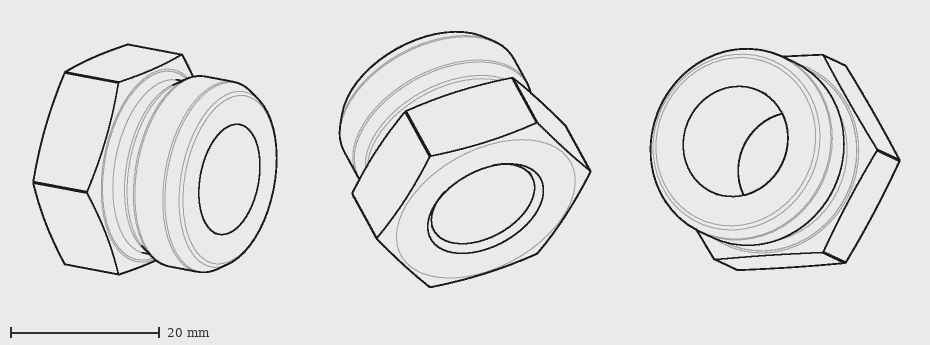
import cadquery as cq
import math

length = 22.0
hex_length = 10.0
hex_across_flats = 27.0
hex_corner_diameter = 31.08
hex_face_diameter = 26.0
hex_chamfer_angle = 15.0

neck_diameter = 23.7
neck_fillet = 1.0
collar_diameter = 26.0
cone_angle = 30.0
collar_start = 15.15
collar_end = 19.92
collar_edge_round = 0.6

bore_diameter = 15.0
bore_mouth_diameter = 16.85
bore_chamfer_angle = 45.0

selection_margin = 0.05


def revolve_profile(points):
    """Revolve a closed (x, radius) outline about the X axis."""
    outline = cq.Workplane("XY").polyline(points).close()
    return outline.revolve(360, (0, 0, 0), (1, 0, 0))


def make_hex():
    """Hexagon with corners on Y, its corners turned down and chamfered at both ends."""
    circumscribed_diameter = hex_across_flats / math.cos(math.radians(30))
    prism = cq.Workplane("YZ").polygon(6, circumscribed_diameter).extrude(hex_length)
    face_radius = hex_face_diameter / 2
    corner_radius = hex_corner_diameter / 2
    chamfer_length = (corner_radius - face_radius) * math.tan(math.radians(hex_chamfer_angle))
    envelope = revolve_profile([
        (0, 0),
        (0, face_radius),
        (chamfer_length, corner_radius),
        (hex_length - chamfer_length, corner_radius),
        (hex_length, face_radius),
        (hex_length, 0),
    ])
    return prism.intersect(envelope)


def circle_at(x_position, radius):
    """Selector for the circular edge of the given radius at one place along the axis."""
    reach = radius + selection_margin
    return cq.selectors.BoxSelector(
        (x_position - selection_margin, -reach, -reach),
        (x_position + selection_margin, reach, reach),
    )


def make_spigot():
    """Neck flaring into a collar that tapers again at the open end, with rounded edges."""
    neck_radius = neck_diameter / 2
    collar_radius = collar_diameter / 2
    slope = math.tan(math.radians(cone_angle))
    flare_start = collar_start - (collar_radius - neck_radius) / slope
    end_radius = collar_radius - (length - collar_end) * slope
    spigot = revolve_profile([
        (hex_length, 0),
        (hex_length, neck_radius),
        (flare_start, neck_radius),
        (collar_start, collar_radius),
        (collar_end, collar_radius),
        (length, end_radius),
        (length, 0),
    ])
    spigot = spigot.edges(circle_at(flare_start, neck_radius)).fillet(neck_fillet)
    for x_position, radius in [
        (collar_start, collar_radius),
        (collar_end, collar_radius),
        (length, end_radius),
    ]:
        spigot = spigot.edges("%CIRCLE").edges(circle_at(x_position, radius)).fillet(collar_edge_round)
    return spigot


def make_bore():
    """Through bore with a countersunk mouth in the hex face."""
    bore_radius = bore_diameter / 2
    mouth_radius = bore_mouth_diameter / 2
    depth = (mouth_radius - bore_radius) / math.tan(math.radians(bore_chamfer_angle))
    return revolve_profile([
        (0, 0),
        (0, mouth_radius),
        (depth, bore_radius),
        (length, bore_radius),
        (length, 0),
    ])


body = make_hex().union(make_spigot())
body = body.edges("%CIRCLE").edges(circle_at(hex_length, neck_diameter / 2)).fillet(neck_fillet)
result = body.cut(make_bore())